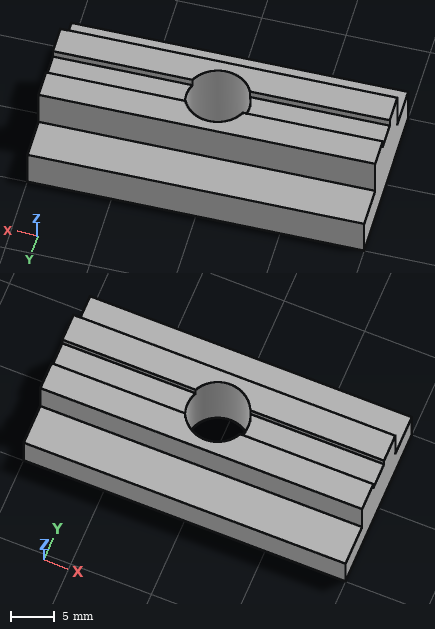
import cadquery as cq

length = 40.0
base_width = 20.0
total_height = 10.0

base_height = total_height / 2
rib_width = base_width / 2

groove_width = 3.2
groove_depth = 1.0

hole_diameter = 7.5


def long_bar(width, height, bottom):
    """Full-length bar centred on the X axis, with its underside at the given Z."""
    bar = cq.Workplane("XY").box(length, width, height, centered=(True, True, False))
    return bar.translate((0, 0, bottom))


base = long_bar(base_width, base_height, 0)
rib = long_bar(rib_width, total_height - base_height, base_height)
groove = long_bar(groove_width, groove_depth, total_height - groove_depth)
hole = cq.Workplane("XY").circle(hole_diameter / 2).extrude(total_height)

result = base.union(rib).cut(groove).cut(hole)